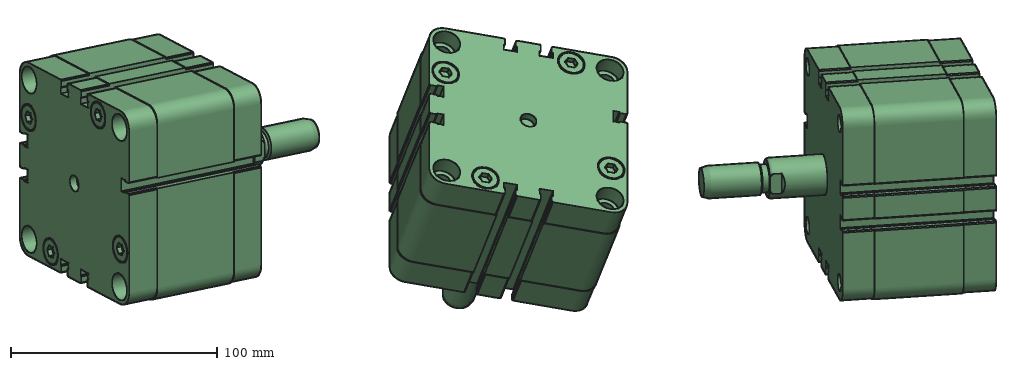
import cadquery as cq
import math


total_length = 136.0
barrel_width = 100.0
cap_width = 99.3
corner_radius = 8.0

rear_y = 0.0
rear_cap_end_y = 16.0
barrel_end_y = 60.1
front_y = 75.8
shoulder_y = 103.8
relief_end_y = 107.0
tip_y = rear_y + total_length

rod_diameter = 20.0
thread_diameter = 16.0
thread_relief_diameter = 13.9
rod_rounding_length = 1.8
rod_rounding_depth = 0.8
relief_chamfer_length = 0.8
tip_diameter = 14.1
tip_chamfer_length = 3.3
flat_width = 17.1
flat_length = 5.7

slot_mouth_width = 5.5
slot_inner_width = 6.7
slot_depth = 7.5
slot_lip_depth = 4.0
slot_pair_offset = 9.0
single_slot_offset = 12.0

mount_offset = 41.0
mount_hole_diameter = 8.5
mount_bore_diameter = 13.5
mount_bore_depth = 8.7

screw_far_offset = 41.5
screw_near_offset = 21.5
screw_recess_diameter = 13.5
screw_head_diameter = 12.5
screw_recess_depth = 1.0
hex_across_flats = 5.5
hex_depth = 2.7

centre_hole_diameter = 8.0
centre_hole_depth = 4.0


def plane_at(y):
    """Sketch plane across the axis: local x is X, local y is Z, extrusion goes along +Y."""
    return cq.Workplane(cq.Plane(origin=(0, y, 0), xDir=(1, 0, 0), normal=(0, -1, 0)))


def drill(points, diameter, start_y, depth):
    """Round cutters starting at start_y and running along +Y."""
    return plane_at(start_y).pushPoints(points).circle(diameter / 2).extrude(-depth)


def section(width, start_y, end_y):
    """Square housing section with rounded corners."""
    block = plane_at(start_y).rect(width, width).extrude(start_y - end_y)
    return block.edges("|Y").fillet(corner_radius)


def slot_cutter(offset, angle, width, start_y, end_y, lead_in):
    """T-slot cutter for a section of the given width.

    It is drawn in the +Z side, shifted by offset along X, then turned about Y by angle.
    """
    mouth = slot_mouth_width / 2
    inner = slot_inner_width / 2
    taper = inner - mouth
    top = barrel_width / 2
    lip = top - slot_lip_depth
    floor = top - slot_depth
    half = [(inner, floor), (inner, lip - taper), (mouth, lip)]
    if lead_in:
        surface = width / 2
        half += [(mouth, surface - taper), (inner, surface)]
        if surface < top:
            half += [(inner, top)]
    else:
        half += [(mouth, top)]
    outline = half + [(-x, z) for x, z in reversed(half)]
    cutter = plane_at(start_y).polyline(outline).close().extrude(start_y - end_y)
    return cutter.translate((offset, 0, 0)).rotate((0, 0, 0), (0, 1, 0), angle)


def build_housing():
    """Barrel between two slightly narrower caps, with T-slots along all of it.

    Every cap slot has a flared mouth, and so do the barrel slots in the -X side.
    """
    to_top, to_bottom, to_left, to_right = 0, 180, -90, 90
    slots = [
        (side * slot_pair_offset, angle)
        for side in (-1, 1)
        for angle in (to_top, to_bottom, to_left)
    ]
    slots.append((-single_slot_offset, to_right))

    spans = [
        (cap_width, rear_y, rear_cap_end_y),
        (barrel_width, rear_cap_end_y, barrel_end_y),
        (cap_width, barrel_end_y, front_y),
    ]
    housing = cq.Workplane()
    for width, start_y, end_y in spans:
        body = section(width, start_y, end_y)
        for offset, angle in slots:
            lead_in = width == cap_width or angle == to_left
            body = body.cut(slot_cutter(offset, angle, width, start_y, end_y, lead_in))
        housing = housing.union(body)
    return housing


def build_rod():
    """Turned rod with a relieved thread end and two wrench flats facing +X and -X."""
    rod_radius = rod_diameter / 2
    thread_radius = thread_diameter / 2
    relief_radius = thread_relief_diameter / 2
    profile = (
        cq.Workplane("XY")
        .moveTo(0, barrel_end_y)
        .lineTo(rod_radius, barrel_end_y)
        .lineTo(rod_radius, shoulder_y - rod_rounding_length)
        .tangentArcPoint((rod_radius - rod_rounding_depth, shoulder_y), relative=False)
        .lineTo(relief_radius, shoulder_y)
        .lineTo(relief_radius, relief_end_y)
        .lineTo(thread_radius, relief_end_y + relief_chamfer_length)
        .lineTo(thread_radius, tip_y - tip_chamfer_length)
        .lineTo(tip_diameter / 2, tip_y)
        .lineTo(0, tip_y)
        .close()
    )
    rod = profile.revolve(360, (0, 0, 0), (0, 1, 0))

    flat_x = flat_width / 2
    flat_end_y = shoulder_y - flat_length
    run_out = rod_radius - flat_x
    flat = (
        cq.Workplane("XY")
        .polyline([
            (flat_x, shoulder_y),
            (flat_x, flat_end_y),
            (rod_radius, flat_end_y - run_out),
            (rod_radius, shoulder_y),
        ])
        .close()
        .extrude(rod_radius, both=True)
    )
    return rod.cut(flat).cut(flat.mirror("YZ"))


def cut_mounting_holes(body):
    """Counterbored through holes in the four corners."""
    corners = [(x, z) for x in (-mount_offset, mount_offset) for z in (-mount_offset, mount_offset)]
    body = body.cut(drill(corners, mount_hole_diameter, rear_y, front_y - rear_y))
    return body.cut(drill(corners, mount_bore_diameter, rear_y, mount_bore_depth))


def cut_cover_screws(body):
    """Flush socket screw heads, each outlined by a narrow ring groove."""
    far = screw_far_offset
    near = screw_near_offset
    points = [(near, far), (far, -near), (-near, -far), (-far, near)]
    hex_diameter = hex_across_flats / math.cos(math.pi / 6)
    ring = drill(points, screw_recess_diameter, rear_y, screw_recess_depth)
    ring = ring.cut(drill(points, screw_head_diameter, rear_y, screw_recess_depth))
    sockets = plane_at(rear_y).pushPoints(points).polygon(6, hex_diameter).extrude(-hex_depth)
    return body.cut(ring).cut(sockets)


def cut_centre_hole(body):
    return body.cut(drill([(0, 0)], centre_hole_diameter, rear_y, centre_hole_depth))


housing = build_housing()
housing = cut_mounting_holes(housing)
housing = cut_cover_screws(housing)
housing = cut_centre_hole(housing)
result = housing.union(build_rod())